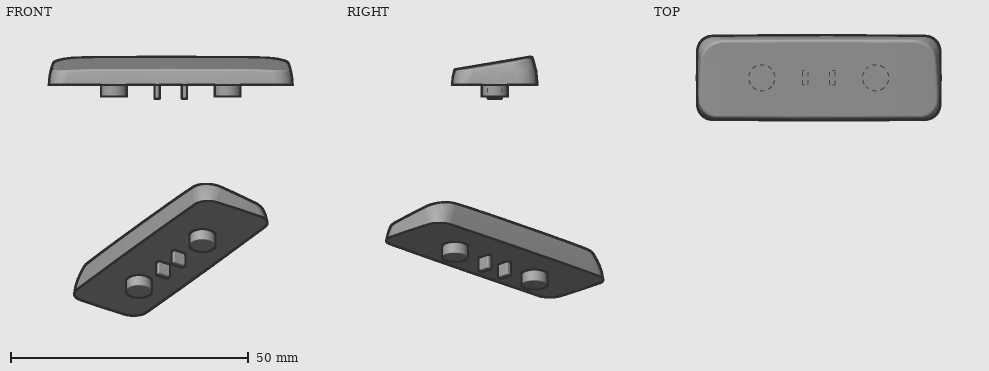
import cadquery as cq

LENGTH = 51.3
WIDTH = 18.0
WALL_BOW = 0.2
LOFT_HEIGHT = 6.15
END_LEAN = 1.65
BACK_LEAN = 1.25
FRONT_LEAN = 1.95
BASE_CORNER_RADIUS = 3.35
TOP_CORNER_RADIUS = 4.9

TOP_CENTRE_HEIGHT = 4.65
TOP_SLOPE = 9.5
CROWN_END_DROP = 0.65
CROWN_POWER = 6
CROWN_STEPS = 24
ENVELOPE_MARGIN = 2.55
TOP_EDGE_RADIUS = 0.6

BOSS_DIAMETER = 5.5
BOSS_DEPTH = 2.5
BOSS_SPACING = 23.9
BOSS_EDGE_RADIUS = 0.15
STEM_THICKNESS = 1.2
STEM_WIDTH = 3.0
STEM_DEPTH = 3.0
STEM_SPACING = 5.75
STEM_EDGE_RADIUS = 0.25
OVERLAP = 0.5


def bowed_outline(height):
    """Rounded rectangle with bulging sides; the lean grows with the square of the height."""
    rise = height / LOFT_HEIGHT
    end = LENGTH / 2 - END_LEAN * rise**2
    back = WIDTH / 2 - BACK_LEAN * rise**2
    front = -WIDTH / 2 + FRONT_LEAN * rise**2
    middle = (back + front) / 2
    side = end - WALL_BOW
    outline = (
        cq.Workplane("XY")
        .workplane(offset=height)
        .moveTo(-side, front + WALL_BOW)
        .threePointArc((0, front), (side, front + WALL_BOW))
        .threePointArc((end, middle), (side, back - WALL_BOW))
        .threePointArc((0, back), (-side, back - WALL_BOW))
        .threePointArc((-end, middle), (-side, front + WALL_BOW))
        .close()
        .val()
    )
    radius = BASE_CORNER_RADIUS + (TOP_CORNER_RADIUS - BASE_CORNER_RADIUS) * rise
    return outline.fillet2D(radius, outline.Vertices())


def crown_height(x):
    """Height of the crown at x, relative to the middle of the top."""
    return -CROWN_END_DROP * abs(2 * x / LENGTH) ** CROWN_POWER


def crowned_envelope():
    """Everything below the crowned top, swept along the direction of its slope."""
    half_span = LENGTH / 2 + ENVELOPE_MARGIN
    depth = LENGTH / 2
    steps = CROWN_STEPS
    stations = [half_span * (2 * i / steps - 1) for i in range(steps + 1)]
    crown = [(x, crown_height(x)) for x in stations]
    return (
        cq.Workplane("XZ")
        .moveTo(*crown[0])
        .spline(crown[1:], includeCurrent=True)
        .lineTo(half_span, -depth)
        .lineTo(-half_span, -depth)
        .close()
        .extrude(2 * WIDTH)
        .translate((0, WIDTH, 0))
        .rotate((0, 0, 0), (1, 0, 0), TOP_SLOPE)
        .translate((0, 0, TOP_CENTRE_HEIGHT))
    )


def make_body():
    outlines = [bowed_outline(height) for height in (0, LOFT_HEIGHT / 2, LOFT_HEIGHT)]
    walls = cq.Workplane(cq.Solid.makeLoft(outlines))
    body = walls.intersect(crowned_envelope())
    return body.faces(">Z").edges().fillet(TOP_EDGE_RADIUS)


def make_boss(x):
    return (
        cq.Workplane("XY")
        .workplane(offset=-BOSS_DEPTH)
        .center(x, 0)
        .circle(BOSS_DIAMETER / 2)
        .extrude(BOSS_DEPTH + OVERLAP)
        .edges("<Z")
        .fillet(BOSS_EDGE_RADIUS)
    )


def make_stem(x):
    return (
        cq.Workplane("XY")
        .workplane(offset=-STEM_DEPTH)
        .center(x, 0)
        .rect(STEM_THICKNESS, STEM_WIDTH)
        .extrude(STEM_DEPTH + OVERLAP)
        .edges("|Z or <Z")
        .fillet(STEM_EDGE_RADIUS)
    )


result = make_body()
for side in (-1, 1):
    result = result.union(make_boss(side * BOSS_SPACING / 2))
    result = result.union(make_stem(side * STEM_SPACING / 2))